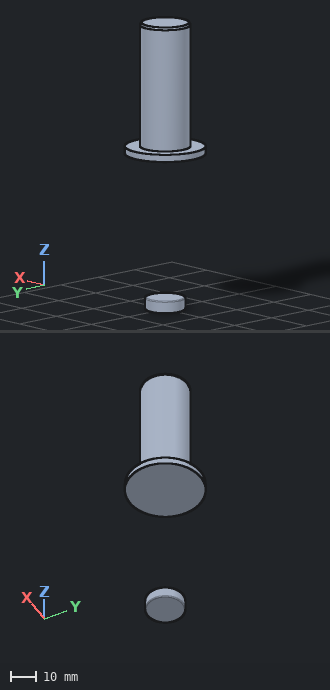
import cadquery as cq
import math

overall_height = 116.0

pin_diameter = 20.0
shank_length = 50.0
head_diameter = 32.0
head_thickness = 3.0

tip_chamfer_height = 1.0
tip_chamfer_angle = 30.0
tip_chamfer_width = tip_chamfer_height * math.tan(math.radians(tip_chamfer_angle))

disc_diameter = 16.0
disc_thickness = 5.0
disc_rim_radius = 0.4

pin_length = head_thickness + shank_length
disc_bottom = pin_length - overall_height


def make_headed_pin():
    """Cylindrical pin with a flat round head and a chamfered tip, revolved about Z."""
    head_radius = head_diameter / 2
    pin_radius = pin_diameter / 2
    half_profile = [
        (0, 0),
        (head_radius, 0),
        (head_radius, head_thickness),
        (pin_radius, head_thickness),
        (pin_radius, pin_length - tip_chamfer_height),
        (pin_radius - tip_chamfer_width, pin_length),
        (0, pin_length),
    ]
    profile = cq.Workplane("XZ").polyline(half_profile).close()
    return profile.revolve(360, (0, 0), (0, 1))


def make_disc():
    """Short disc with both rims rounded."""
    base = cq.Workplane("XY").workplane(offset=disc_bottom)
    blank = base.circle(disc_diameter / 2).extrude(disc_thickness)
    return blank.faces("<Z or >Z").edges().fillet(disc_rim_radius)


headed_pin = make_headed_pin()
disc = make_disc()

result = cq.Compound.makeCompound([headed_pin.val(), disc.val()])